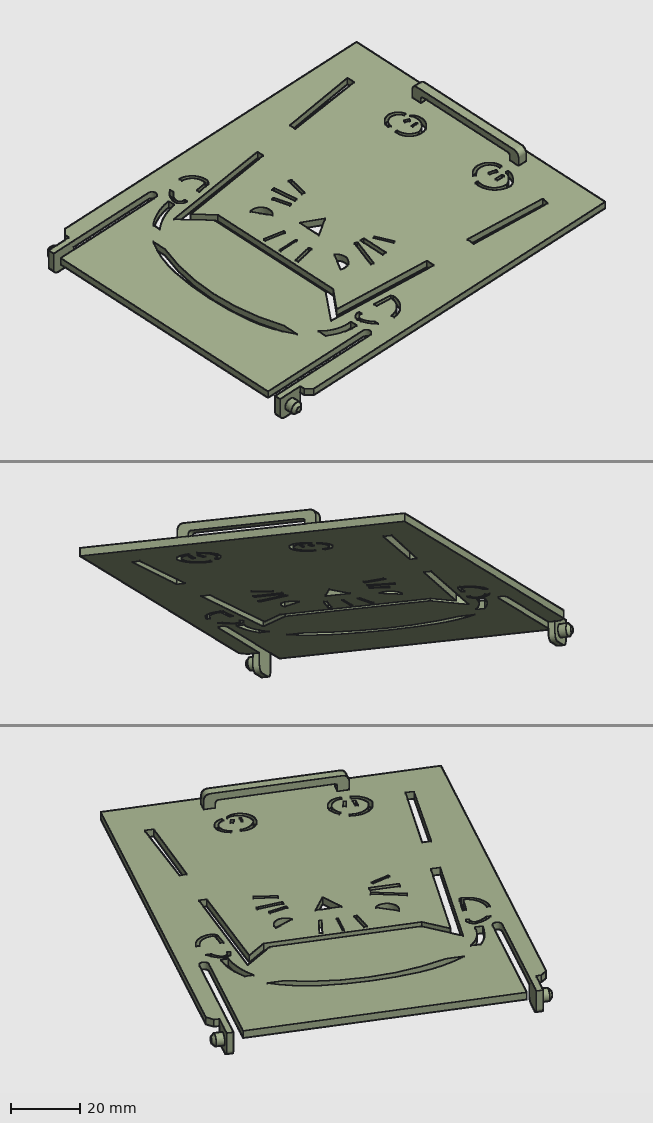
import cadquery as cq
import math


panel_width = 101.7
panel_length = 129.2
panel_thickness = 2.5
corner_chamfer = 2.0

arm_length = 8.3
arm_outer_x = 47.3
arm_inner_x = 45.2
slot_inner_x = 42.4
slot_length = 40.2
tab_depth = 8.0
tab_corner_radius = 2.0

pin_diameter = 4.0
pin_axis_y = arm_length / 2
pin_axis_depth = 4.3
pin_chamfer = 1.0

handle_length = 43.4
handle_depth = 3.1
handle_height = 5.0
handle_leg = 3.5
handle_bar = 2.5
handle_edge_y = 122.9
handle_outer_radius = 2.0
handle_inner_radius = 1.0


def panel_blank():
    """Plate whose hinge end narrows to the two arms through chamfered shoulders."""
    half_width = panel_width / 2
    right_side = [
        (arm_outer_x, 0),
        (arm_outer_x, arm_length),
        (half_width - corner_chamfer, arm_length),
        (half_width, arm_length + corner_chamfer),
        (half_width, panel_length),
    ]
    left_side = [(-x, y) for x, y in reversed(right_side)]
    return cq.Workplane("XY").polyline(right_side + left_side).close().extrude(panel_thickness)


def cut_through(outline):
    """Cutter through the panel. A step is a line's end point, or an arc's (middle, end) points."""
    start, *steps = outline
    sketch = cq.Workplane("XY").moveTo(*start)
    for step in steps:
        if isinstance(step[0], tuple):
            sketch = sketch.threePointArc(*step)
        else:
            sketch = sketch.lineTo(*step)
    return sketch.close().extrude(panel_thickness)


def strip(start, end, width):
    """Cutter for a straight, square-ended slit along the line from start to end."""
    dx = end[0] - start[0]
    dy = end[1] - start[1]
    return (
        cq.Workplane("XY")
        .center((start[0] + end[0]) / 2, (start[1] + end[1]) / 2)
        .transformed(rotate=(0, 0, math.degrees(math.atan2(dy, dx))))
        .rect(math.hypot(dx, dy), width)
        .extrude(panel_thickness)
    )


def arm_slot():
    """Round-ended slot that frees the right hinge arm from the panel."""
    end_radius = (arm_inner_x - slot_inner_x) / 2
    shoulder_y = slot_length - end_radius
    middle_x = slot_inner_x + end_radius
    return cut_through([
        (slot_inner_x, 0),
        (slot_inner_x, shoulder_y),
        ((middle_x, slot_length), (arm_inner_x, shoulder_y)),
        (arm_inner_x, 0),
    ])


def hinge_tab():
    """Right hinge tab hanging below the panel, with its chamfered outward pin."""
    tab_width = arm_outer_x - arm_inner_x
    tab = (
        cq.Workplane("XY")
        .box(tab_width, arm_length, tab_depth, centered=False)
        .edges("|X and <Z")
        .fillet(tab_corner_radius)
        .translate((arm_inner_x, 0, panel_thickness - tab_depth))
    )
    pin = (
        cq.Workplane("YZ", origin=(arm_inner_x, pin_axis_y, panel_thickness - pin_axis_depth))
        .circle(pin_diameter / 2)
        .extrude(panel_width / 2 - arm_inner_x)
        .faces(">X")
        .edges()
        .chamfer(pin_chamfer)
    )
    return tab.union(pin)


def handle():
    """Bridge-shaped pull near the free end of the panel."""
    opening_height = handle_height - handle_bar
    bridge = (
        cq.Workplane("XY")
        .box(handle_length, handle_depth, handle_height, centered=(True, False, False))
        .edges("|Y and >Z")
        .fillet(handle_outer_radius)
    )
    opening = (
        cq.Workplane("XY")
        .box(handle_length - 2 * handle_leg, handle_depth, opening_height, centered=(True, False, False))
        .edges("|Y and >Z")
        .fillet(handle_inner_radius)
    )
    return bridge.cut(opening).translate((0, handle_edge_y, panel_thickness))


temples = [
    [(-41.2, 116.0), (-38.5, 116.0), (-35.7, 89.0), (-37.9, 89.0)],
    [(37.1, 117.5), (39.5, 117.0), (37.4, 89.0), (34.6, 89.0)],
]

face_band = [
    (-36.0, 74.0), (-33.7, 74.0), (-29.9, 40.5), (-24.2, 45.9), (23.1, 45.9), (30.2, 40.2),
    (33.2, 74.0), (36.0, 74.0), (32.7, 35.4), (22.4, 43.5), (-23.0, 43.5), (-31.7, 35.4),
]

eye_rings = [
    [(-18.0, 116.5), ((-21.1, 113.1), (-17.3, 108.7)), (-16.9, 109.5), ((-19.9, 113.1), (-17.7, 115.5))],
    [
        (-16.4, 117.1), ((-11.4, 117.9), (-8.5, 113.4)), ((-10.1, 109.9), (-14.3, 108.6)),
        (-14.3, 109.3), ((-11.0, 110.6), (-9.4, 113.4)), ((-11.9, 116.7), (-16.4, 116.6)),
    ],
    [(18.4, 119.4), ((13.3, 115.2), (15.5, 110.5)), (16.2, 111.3), ((14.5, 115.2), (18.4, 118.5))],
    [
        (21.1, 119.3), ((24.7, 117.7), (26.5, 114.9)), ((24.3, 110.1), (18.2, 108.7)),
        (18.2, 109.7), ((23.3, 110.6), (25.2, 114.6)), ((23.7, 117.0), (21.1, 118.3)),
    ],
]

nose = [(-1.0, 66.7), (-4.9, 60.1), (3.0, 60.1)]

muzzle_spots = [
    [(-18.5, 53.5), ((-17.2, 57.5), (-12.7, 57.0))],
    [(12.3, 57.1), ((17.5, 57.8), (18.4, 53.6))],
]

paws = [
    [
        (-43.4, 49.4), ((-41.4, 53.4), (-37.0, 54.7)), (-35.9, 54.0), (-35.2, 49.4),
        (-36.2, 49.4), (-36.7, 53.5), ((-40.3, 52.7), (-42.3, 49.4)),
    ],
    [
        (44.5, 49.4), ((42.1, 54.3), (37.6, 56.0)), (36.8, 55.6), (36.2, 49.4),
        (37.4, 49.4), (37.9, 54.9), ((41.2, 53.6), (43.4, 49.4)),
    ],
    [
        (-41.9, 44.1), ((-40.1, 42.3), (-37.4, 41.1)), ((-35.4, 41.7), (-34.6, 44.0)),
        (-35.7, 44.0), ((-36.0, 42.4), (-37.4, 42.0)), ((-38.9, 42.7), (-40.3, 44.1)),
    ],
    [
        (43.3, 44.1), ((40.7, 42.0), (37.7, 41.1)), ((36.3, 41.7), (35.7, 44.0)),
        (36.7, 44.0), ((37.1, 42.5), (38.3, 42.0)), ((40.2, 42.8), (41.9, 44.1)),
    ],
]

jaws = [
    [
        (-38.5, 40.2), (-36.2, 40.2), ((-34.8, 35.0), (-31.4, 29.5)),
        (-34.1, 29.5), ((-37.1, 34.6), (-38.5, 40.2)),
    ],
    [
        (37.1, 39.2), (39.5, 39.2), ((38.9, 34.6), (36.5, 29.5)),
        (33.3, 29.5), ((36.5, 34.1), (37.1, 39.2)),
    ],
]

smile = [
    (-28.8, 24.2), (-23.9, 24.2), ((0.5, 19.9), (24.5, 24.2)), (30.1, 24.2),
    ((23.4, 21.0), (15.6, 18.9)), ((0.6, 17.7), (-14.3, 18.9)), ((-22.1, 21.0), (-28.8, 24.2)),
]

pupils = [
    ((-15.1, 115.3), (-15.8, 113.7), 0.9),
    ((-12.7, 115.8), (-12.7, 113.7), 0.5),
    ((18.9, 117.0), (18.1, 114.4), 0.9),
    ((21.6, 116.8), (21.6, 114.0), 0.9),
]
whiskers = [
    ((-20.4, 71.6), (-13.5, 70.2), 1.0),
    ((-21.1, 65.4), (-12.9, 66.5), 1.0),
    ((-18.1, 62.3), (-12.4, 64.0), 0.9),
    ((14.9, 70.7), (20.5, 73.3), 0.8),
    ((13.2, 67.6), (22.2, 67.6), 1.4),
    ((12.9, 65.3), (23.0, 61.9), 1.0),
]
teeth = [
    ((-5.0, 54.2), (-6.6, 47.4), 0.9),
    ((0, 54.0), (0, 47.2), 0.5),
    ((5.4, 54.2), (6.7, 47.4), 1.0),
]

result = panel_blank()

right_slot = arm_slot()
result = result.cut(right_slot).cut(right_slot.mirror("YZ"))

for outline in [*temples, face_band, *eye_rings, nose, *muzzle_spots, *paws, *jaws, smile]:
    result = result.cut(cut_through(outline))

for start, end, width in [*pupils, *whiskers, *teeth]:
    result = result.cut(strip(start, end, width))

right_tab = hinge_tab()
result = result.union(right_tab).union(right_tab.mirror("YZ")).union(handle())